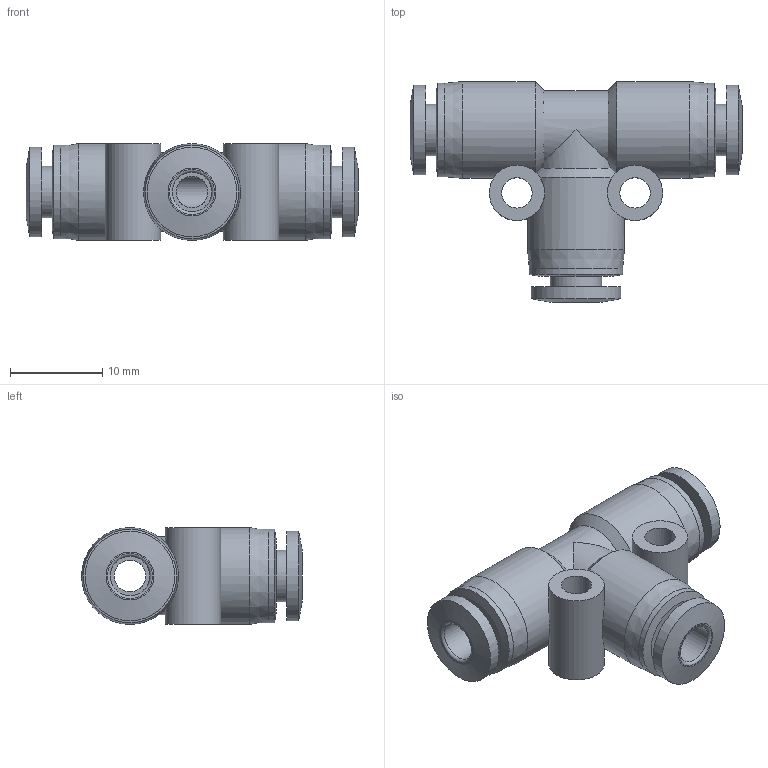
import cadquery as cq
import math


run_reach = 18.0
branch_reach = 18.7

core_radius = 4.28
socket_radius = 5.25
socket_end_radius = 5.06
socket_face_radius = 4.0
neck_radius = 2.8
flange_radius = 4.85
flange_face_radius = 2.6

flange_cone_length = 0.4
flange_length = 1.7
socket_end_depth = 2.83
socket_cone_length = 0.2
taper_outer_depth = 3.7
taper_inner_depth = 5.73
socket_root_depth = 13.56
shoulder_length = socket_radius - core_radius

bore_radius = 1.72
tube_radius = 2.15
mouth_radius = 2.45
mouth_round = mouth_radius - tube_radius
tube_depth = socket_root_depth

boss_radius = 3.0
boss_hole_radius = 1.65
boss_x = 6.4
boss_y = -6.83
boss_height = 2 * socket_radius


def revolve_arm(profile):
    """Spin a (radius, distance along arm) profile about the local Y axis."""
    return profile.close().revolve(360, (0, 0, 0), (0, 1, 0))


def arm_body(reach):
    """Solid arm pointing along +Y from the origin, ending at the given reach."""
    profile = (
        cq.Workplane("XY")
        .lineTo(core_radius, 0)
        .lineTo(core_radius, reach - socket_root_depth - shoulder_length)
        .lineTo(socket_radius, reach - socket_root_depth)
        .lineTo(socket_radius, reach - taper_inner_depth)
        .lineTo(socket_end_radius, reach - taper_outer_depth)
        .lineTo(socket_end_radius, reach - socket_end_depth - socket_cone_length)
        .lineTo(socket_face_radius, reach - socket_end_depth)
        .lineTo(neck_radius, reach - socket_end_depth)
        .lineTo(neck_radius, reach - flange_length)
        .lineTo(flange_radius, reach - flange_length)
        .lineTo(flange_radius, reach - flange_cone_length)
        .lineTo(flange_face_radius, reach)
        .lineTo(0, reach)
    )
    return revolve_arm(profile)


def arm_passage(reach):
    """Bore, wider tube socket and rounded mouth of an arm along +Y."""
    round_middle = mouth_round * (1 - math.sqrt(0.5))
    profile = (
        cq.Workplane("XY")
        .lineTo(bore_radius, 0)
        .lineTo(bore_radius, reach - tube_depth)
        .lineTo(tube_radius, reach - tube_depth)
        .lineTo(tube_radius, reach - mouth_round)
        .threePointArc((tube_radius + round_middle, reach - round_middle), (mouth_radius, reach))
        .lineTo(0, reach)
    )
    return revolve_arm(profile)


def boss_cylinders(radius):
    """Vertical cylinders at both boss centres, as tall as the sockets."""
    return (
        cq.Workplane("XY", origin=(0, 0, -boss_height / 2))
        .pushPoints([(-boss_x, boss_y), (boss_x, boss_y)])
        .circle(radius)
        .extrude(boss_height)
    )


arms = [(run_reach, 90), (branch_reach, 180), (run_reach, 270)]

result = boss_cylinders(boss_radius)
for reach, turn in arms:
    result = result.union(arm_body(reach).rotate((0, 0, 0), (0, 0, 1), turn))

for reach, turn in arms:
    result = result.cut(arm_passage(reach).rotate((0, 0, 0), (0, 0, 1), turn))
result = result.cut(boss_cylinders(boss_hole_radius))